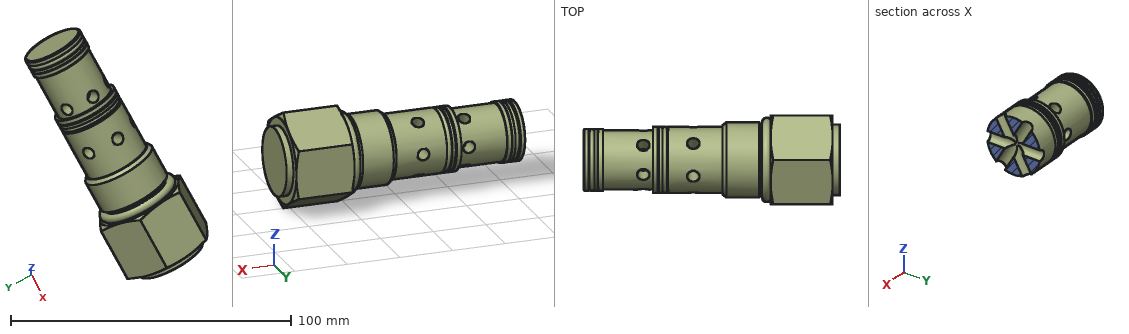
import cadquery as cq
import math

LENGTH = 91.4

NOSE_LAND_DIAMETER = 22.2
NOSE_FACE_DIAMETER = 21.1
NOSE_CHAMFER_LENGTH = 0.4
NOSE_LAND_END = 6.95
NOSE_GROOVE_START = 1.8
NOSE_GROOVE_END = 5.2
NOSE_GROOVE_DIAMETER = 19.6

WAIST_DIAMETER = 21.3

BARREL_DIAMETER = 23.8
BARREL_START = 24.7
BARREL_GROOVE_START = 26.4
BARREL_GROOVE_END = 30.2
BARREL_GROOVE_DIAMETER = 21.3

JOINT = 49.5
THREAD_TIP_DIAMETER = 24.6
THREAD_DIAMETER = 27.0
THREAD_START = 51.0
THREAD_END = 62.6

NECK_DIAMETER = 24.05
NECK_START = 63.4

HEX_START = 66.75
HEX_END = 88.9
HEX_ACROSS_FLATS = 31.7
HEX_CORNER_RADIUS = HEX_ACROSS_FLATS / math.sqrt(3)
HEX_FACE_DIAMETER = 31.6
HEX_CHAMFER_LENGTH = 0.9

BOSS_DIAMETER = 25.4

HOLE_DIAMETER = 4.4
HOLE_STATIONS = (21.3, 39.1)
DRILLINGS_PER_ROW = 3

BACKUP_WIDTH = 1.2
NOSE_BACKUP_START = 3.8
NOSE_BACKUP_DIAMETER = 22.1
BARREL_BACKUP_START = 26.9

SEAL_SECTION = 1.7
NOSE_SEAL_CENTRE = NOSE_BACKUP_START - SEAL_SECTION / 2
BARREL_SEAL_CENTRE = BARREL_BACKUP_START + BACKUP_WIDTH + SEAL_SECTION / 2
FLANGE_SEAL_SECTION = 3.5
FLANGE_SEAL_CENTRE = 65.4
FLANGE_SEAL_DIAMETER = 30.2


def revolve_about_x(profile):
    return profile.close().revolve(360, (0, 0, 0), (1, 0, 0))


def cylinder_along_x(start, end, diameter):
    return cq.Workplane("YZ", origin=(start, 0, 0)).circle(diameter / 2).extrude(end - start)


def make_cage_blank():
    outline = [
        (0, 0),
        (0, NOSE_FACE_DIAMETER / 2),
        (NOSE_CHAMFER_LENGTH, NOSE_LAND_DIAMETER / 2),
        (NOSE_GROOVE_START, NOSE_LAND_DIAMETER / 2),
        (NOSE_GROOVE_START, NOSE_GROOVE_DIAMETER / 2),
        (NOSE_GROOVE_END, NOSE_GROOVE_DIAMETER / 2),
        (NOSE_GROOVE_END, NOSE_LAND_DIAMETER / 2),
        (NOSE_LAND_END, NOSE_LAND_DIAMETER / 2),
        (NOSE_LAND_END, WAIST_DIAMETER / 2),
        (BARREL_START, WAIST_DIAMETER / 2),
        (BARREL_START, BARREL_DIAMETER / 2),
        (BARREL_GROOVE_START, BARREL_DIAMETER / 2),
        (BARREL_GROOVE_START, BARREL_GROOVE_DIAMETER / 2),
        (BARREL_GROOVE_END, BARREL_GROOVE_DIAMETER / 2),
        (BARREL_GROOVE_END, BARREL_DIAMETER / 2),
        (JOINT, BARREL_DIAMETER / 2),
        (JOINT, 0),
    ]
    return revolve_about_x(cq.Workplane("XY").polyline(outline))


def make_threaded_end():
    outline = [
        (JOINT, 0),
        (JOINT, THREAD_TIP_DIAMETER / 2),
        (THREAD_START, THREAD_DIAMETER / 2),
        (THREAD_END, THREAD_DIAMETER / 2),
        (NECK_START, NECK_DIAMETER / 2),
        (HEX_START, NECK_DIAMETER / 2),
        (HEX_START, 0),
    ]
    return revolve_about_x(cq.Workplane("XY").polyline(outline))


def make_hexagon():
    corner_angles = [i * math.pi / 3 for i in range(6)]
    corners = [(HEX_CORNER_RADIUS * math.sin(a), HEX_CORNER_RADIUS * math.cos(a)) for a in corner_angles]
    prism = cq.Workplane("YZ", origin=(HEX_START, 0, 0)).polyline(corners).close().extrude(HEX_END - HEX_START)
    envelope_outline = [
        (HEX_START, 0),
        (HEX_START, HEX_FACE_DIAMETER / 2),
        (HEX_START + HEX_CHAMFER_LENGTH, HEX_CORNER_RADIUS),
        (HEX_END - HEX_CHAMFER_LENGTH, HEX_CORNER_RADIUS),
        (HEX_END, HEX_FACE_DIAMETER / 2),
        (HEX_END, 0),
    ]
    return prism.intersect(revolve_about_x(cq.Workplane("XY").polyline(envelope_outline)))


def drill_hole_row(body, station):
    for i in range(DRILLINGS_PER_ROW):
        drill = cq.Workplane("XZ", origin=(station, 0, 0)).circle(HOLE_DIAMETER / 2)
        drill = drill.extrude(BARREL_DIAMETER, both=True)
        body = body.cut(drill.rotate((0, 0, 0), (1, 0, 0), i * 180 / DRILLINGS_PER_ROW))
    return body


def bed_seals(body, seals):
    """Cut round seats of the seals' own shape into the body."""
    for seal in seals:
        body = body.cut(seal)
    return body


def make_cage(cage_seals):
    cage = make_cage_blank()
    for station in HOLE_STATIONS:
        cage = drill_hole_row(cage, station)
    return bed_seals(cage, cage_seals)


def make_adapter(flange_seal):
    boss = cylinder_along_x(HEX_END, LENGTH, BOSS_DIAMETER)
    adapter = make_threaded_end().union(make_hexagon()).union(boss)
    return bed_seals(adapter, [flange_seal])


def make_seal(centre, outer_diameter, section):
    ring_radius = (outer_diameter - section) / 2
    circle = cq.Workplane("back", origin=(centre, ring_radius, 0)).circle(section / 2)
    return circle.revolve(360, (0, -ring_radius, 0), (1, -ring_radius, 0))


def make_backup_ring(start, outer_diameter, seat_diameter):
    end = start + BACKUP_WIDTH
    return cylinder_along_x(start, end, outer_diameter).cut(cylinder_along_x(start, end, seat_diameter))


nose_seal = make_seal(NOSE_SEAL_CENTRE, NOSE_LAND_DIAMETER, SEAL_SECTION)
barrel_seal = make_seal(BARREL_SEAL_CENTRE, BARREL_DIAMETER, SEAL_SECTION)
flange_seal = make_seal(FLANGE_SEAL_CENTRE, FLANGE_SEAL_DIAMETER, FLANGE_SEAL_SECTION)

nose_backup_ring = make_backup_ring(NOSE_BACKUP_START, NOSE_BACKUP_DIAMETER, NOSE_GROOVE_DIAMETER)
barrel_backup_ring = make_backup_ring(BARREL_BACKUP_START, BARREL_DIAMETER, BARREL_GROOVE_DIAMETER)

cage = make_cage([nose_seal, barrel_seal])
adapter = make_adapter(flange_seal)

result = cq.Compound.makeCompound([
    cage.val(),
    adapter.val(),
    nose_seal.val(),
    barrel_seal.val(),
    flange_seal.val(),
    nose_backup_ring.val(),
    barrel_backup_ring.val(),
])